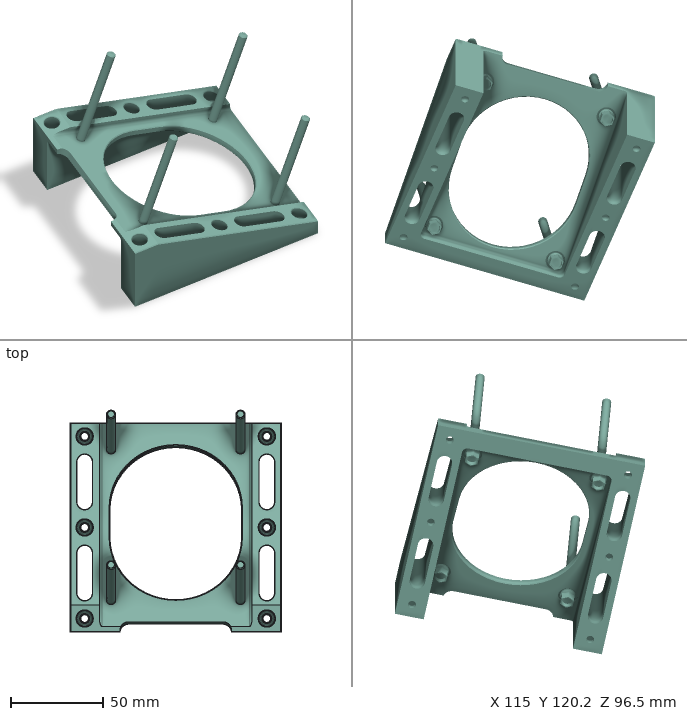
import cadquery as cq
import math

FRAME_WIDTH = 115.0
FRAME_LENGTH = 113.5
FRONT_HEIGHT = 42.6
REAR_HEIGHT = 9.9
FLAT_TOP_LENGTH = 14.5
LEG_WIDTH = 16.0
LEG_EDGE_CHAMFER = 0.5

PLATE_SINK = 3.6
PLATE_THICKNESS = 4.1
REAR_WALL = 10.0
INNER_FILLET = 1.5
REAR_CORNER_FILLET = 3.0

OPENING_WIDTH = 71.6
OPENING_LENGTH = 88.2
OPENING_SETBACK = 59.5
OPENING_CHAMFER = 0.5
NOTCH_WIDTH = 60.7
NOTCH_DEPTH = 2.7
NOTCH_CORNER_RADIUS = 4.9

LEG_PITCH = 49.5
MOUNT_HOLE_DIAMETER = 4.2
MOUNT_HOLE_CHAMFER = 0.6
COUNTERBORE_DIAMETER = 8.7
COUNTERBORE_FLOOR = 4.0
COUNTERBORE_FILLET = 0.7
COUNTERBORE_CHAMFER = 0.4
SLOT_WIDTH = 8.4
SLOT_LENGTH = 30.1

SCREW_DIAMETER = 4.9
SCREW_HOLE_DIAMETER = 5.0
SCREW_SPACING_X = 70.4
SCREW_SPACING_SLOPE = 71.6
SCREW_SETBACK = 15.0
SCREW_HEIGHT = 61.1
SCREW_TIP_CHAMFER = 0.6
FLANGE_DIAMETER = 8.7
FLANGE_RIM = 1.6
FLANGE_CONE = 0.7
HEX_ACROSS_FLATS = 6.9
HEX_HEIGHT = 4.1
SOCKET_DIAMETER = 6.1
SOCKET_DEPTH = 2.4
SEAT_DIAMETER = 10.6
SEAT_DEPTH = 1.0

FRONT_Y = -FRAME_LENGTH / 2
REAR_Y = FRAME_LENGTH / 2
LEG_X = (FRAME_WIDTH - LEG_WIDTH) / 2
INNER_WIDTH = FRAME_WIDTH - 2 * LEG_WIDTH
SLOPE_START_Y = FRONT_Y + FLAT_TOP_LENGTH
SLOPE = (FRONT_HEIGHT - REAR_HEIGHT) / (FRAME_LENGTH - FLAT_TOP_LENGTH)
TILT = math.atan(SLOPE)
PLATE_START_Y = SLOPE_START_Y - PLATE_SINK / math.sin(TILT)
CUT_LENGTH = 241.0

PLATE_PLANE = cq.Plane(
    origin=(0, PLATE_START_Y, FRONT_HEIGHT),
    xDir=(1, 0, 0),
    normal=(0, math.sin(TILT), math.cos(TILT)),
)
UP_SLOPE_NORMAL = cq.selectors.DirectionMinMaxSelector(PLATE_PLANE.zDir, True)
DOWN_SLOPE_NORMAL = cq.selectors.DirectionMinMaxSelector(PLATE_PLANE.zDir, False)
REAR_END = cq.selectors.DirectionMinMaxSelector(PLATE_PLANE.yDir, True)


def plate_workplane(height=0.0):
    """Workplane parallel to the plate, at a height above its upper face."""
    return cq.Workplane(PLATE_PLANE).workplane(offset=height)



def wedge():
    body = (
        cq.Workplane("YZ")
        .moveTo(FRONT_Y, 0)
        .lineTo(REAR_Y, 0)
        .lineTo(REAR_Y, REAR_HEIGHT)
        .lineTo(SLOPE_START_Y, FRONT_HEIGHT)
        .lineTo(FRONT_Y, FRONT_HEIGHT)
        .close()
        .extrude(FRAME_WIDTH / 2, both=True)
    )
    outer_top_edges = body.faces("<X or >X").edges("(not |Z) and (not <Z)")
    return outer_top_edges.chamfer(LEG_EDGE_CHAMFER)


def upper_channel():
    """Space above the plate; it leaves through the rear face and the flat top."""
    block = plate_workplane().rect(INNER_WIDTH, 2 * CUT_LENGTH).extrude(CUT_LENGTH)
    floor = block.faces(DOWN_SLOPE_NORMAL)
    return floor.edges(cq.selectors.ParallelDirSelector(PLATE_PLANE.yDir)).fillet(INNER_FILLET)


def lower_cavity():
    """Space below the plate; it is open in front and below, and closed by the rear wall."""
    start_y = FRONT_Y - FLAT_TOP_LENGTH
    wall_y = REAR_Y - REAR_WALL

    def ceiling_height(y):
        return FRONT_HEIGHT - PLATE_THICKNESS / math.cos(TILT) - SLOPE * (y - PLATE_START_Y)

    block = (
        cq.Workplane("YZ")
        .moveTo(start_y, -CUT_LENGTH)
        .lineTo(wall_y, -CUT_LENGTH)
        .lineTo(wall_y, ceiling_height(wall_y))
        .lineTo(start_y, ceiling_height(start_y))
        .close()
        .extrude(INNER_WIDTH / 2, both=True)
    )
    block = block.faces(">Y").edges("|Z").fillet(REAR_CORNER_FILLET)
    return block.faces(UP_SLOPE_NORMAL).edges("not <Y").fillet(INNER_FILLET)


def opening():
    """Round-ended opening through the plate, chamfered on both faces."""
    def outline(height, margin):
        return (
            plate_workplane(height)
            .center(0, OPENING_SETBACK)
            .slot2D(OPENING_LENGTH + 2 * margin, OPENING_WIDTH + 2 * margin, 90)
        )

    through = outline(0, 0).extrude(-PLATE_THICKNESS)
    upper_rim = outline(0, OPENING_CHAMFER).extrude(-OPENING_CHAMFER, taper=45)
    lower_rim = outline(-PLATE_THICKNESS, OPENING_CHAMFER).extrude(OPENING_CHAMFER, taper=45)
    return through.union(upper_rim).union(lower_rim)


def front_notch():
    """Round-cornered notch, square to the plate."""
    block = (
        plate_workplane()
        .center(0, NOTCH_DEPTH - FLAT_TOP_LENGTH / 2)
        .rect(NOTCH_WIDTH, FLAT_TOP_LENGTH)
        .extrude(2 * PLATE_THICKNESS, both=True)
    )
    corners = block.faces(REAR_END).edges(cq.selectors.ParallelDirSelector(PLATE_PLANE.zDir))
    return corners.fillet(NOTCH_CORNER_RADIUS)


def mount_hole(x, y):
    through = cq.Workplane().center(x, y).circle(MOUNT_HOLE_DIAMETER / 2).extrude(CUT_LENGTH)
    floor = cq.Workplane().workplane(offset=COUNTERBORE_FLOOR).center(x, y)
    bore = floor.circle(COUNTERBORE_DIAMETER / 2).extrude(CUT_LENGTH)
    bore = bore.faces("<Z").edges().fillet(COUNTERBORE_FILLET)
    countersink = (
        floor.circle(MOUNT_HOLE_DIAMETER / 2 + MOUNT_HOLE_CHAMFER)
        .extrude(-MOUNT_HOLE_CHAMFER, taper=45)
    )
    return through.union(bore).union(countersink)


def chamfer_bore_mouth(frame, x, y):
    """Break the rim where a counterbore meets the flat or sloping top of a leg."""
    half = COUNTERBORE_DIAMETER / 2 + COUNTERBORE_CHAMFER
    bore_floor = COUNTERBORE_FLOOR + COUNTERBORE_FILLET
    column = cq.selectors.BoxSelector(
        (x - half, y - half, bore_floor + COUNTERBORE_CHAMFER),
        (x + half, y + half, CUT_LENGTH),
        boundingbox=True,
    )
    return frame.edges(column).edges("not |Z").chamfer(COUNTERBORE_CHAMFER)


def leg_slot(x, y):
    return cq.Workplane().center(x, y).slot2D(SLOT_LENGTH, SLOT_WIDTH, 90).extrude(CUT_LENGTH)


def screw_places():
    """Screw axes in the local coordinates of the plate."""
    return [
        (side * SCREW_SPACING_X / 2, SCREW_SETBACK + row * SCREW_SPACING_SLOPE)
        for side in (-1, 1)
        for row in (0, 1.2)
    ]


def screw_hole(x, y):
    """Clearance hole with a round seat for the flange on the underside."""
    hole = plate_workplane().center(x, y).circle(SCREW_HOLE_DIAMETER / 2).extrude(-PLATE_THICKNESS)
    seat = (
        plate_workplane(SEAT_DEPTH - PLATE_THICKNESS)
        .center(x, y)
        .circle(SEAT_DIAMETER / 2)
        .extrude(-SEAT_DEPTH - INNER_FILLET)
    )
    return hole.union(seat)


def make_frame():
    frame = wedge().cut(upper_channel()).cut(lower_cavity()).cut(opening()).cut(front_notch())
    for x in (-LEG_X, LEG_X):
        for y in (-LEG_PITCH, 0, LEG_PITCH):
            frame = frame.cut(mount_hole(x, y))
            frame = chamfer_bore_mouth(frame, x, y)
        for y in (-LEG_PITCH / 2, LEG_PITCH / 2):
            frame = frame.cut(leg_slot(x, y))
    for x, y in screw_places():
        frame = frame.cut(screw_hole(x, y))
    return frame



def make_screw(x, y):
    seat_height = SEAT_DEPTH - PLATE_THICKNESS
    hex_top = seat_height - FLANGE_RIM
    head_end = hex_top - FLANGE_CONE - HEX_HEIGHT

    shank = (
        plate_workplane(seat_height)
        .center(x, y)
        .circle(SCREW_DIAMETER / 2)
        .extrude(SCREW_HEIGHT - seat_height)
        .faces(UP_SLOPE_NORMAL)
        .chamfer(SCREW_TIP_CHAMFER)
    )
    flange = (
        plate_workplane(seat_height)
        .center(x, y)
        .circle(FLANGE_DIAMETER / 2)
        .extrude(-FLANGE_RIM)
    )
    cone = (
        plate_workplane(hex_top)
        .center(x, y)
        .circle(FLANGE_DIAMETER / 2)
        .workplane(offset=-FLANGE_CONE)
        .circle(HEX_ACROSS_FLATS / 2)
        .loft()
    )
    hexagon = (
        plate_workplane(hex_top)
        .center(x, y)
        .polygon(6, HEX_ACROSS_FLATS, circumscribed=True)
        .extrude(head_end - hex_top)
    )
    socket = (
        plate_workplane(head_end)
        .center(x, y)
        .circle(SOCKET_DIAMETER / 2)
        .extrude(SOCKET_DEPTH)
    )
    return shank.union(flange).union(cone).union(hexagon).cut(socket)


frame = make_frame()
screws = [make_screw(x, y) for x, y in screw_places()]

result = cq.Compound.makeCompound([frame.solids().val(), *[screw.solids().val() for screw in screws]])